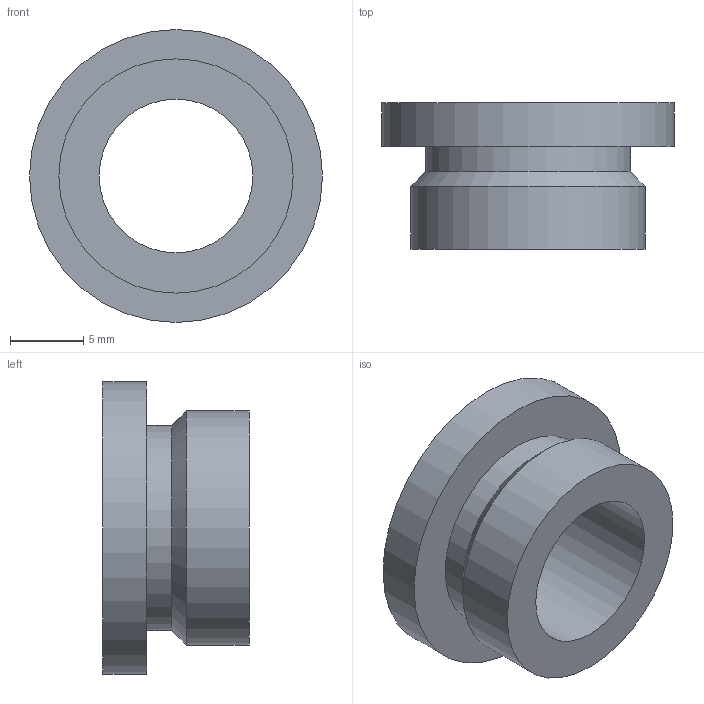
import cadquery as cq

total_length = 10.0
flange_diameter = 20.0
flange_thickness = 3.0
body_diameter = 16.0
body_length = 4.3
neck_diameter = 14.0
bore_diameter = 10.5

flange_radius = flange_diameter / 2
body_radius = body_diameter / 2
neck_radius = neck_diameter / 2
bore_radius = bore_diameter / 2

body_end = 0.0
taper_start = body_end + body_length
taper_length = body_radius - neck_radius
taper_end = taper_start + taper_length
flange_back = body_end + total_length
flange_front = flange_back - flange_thickness


def make_bushing():
    """Revolve the half section (radius along X, length along Y) about the Y axis."""
    half_section = (
        cq.Workplane("XY")
        .moveTo(bore_radius, body_end)
        .lineTo(body_radius, body_end)
        .lineTo(body_radius, taper_start)
        .lineTo(neck_radius, taper_end)
        .lineTo(neck_radius, flange_front)
        .lineTo(flange_radius, flange_front)
        .lineTo(flange_radius, flange_back)
        .lineTo(bore_radius, flange_back)
        .close()
    )
    return half_section.revolve(360, (0, 0, 0), (0, 1, 0))


result = make_bushing()